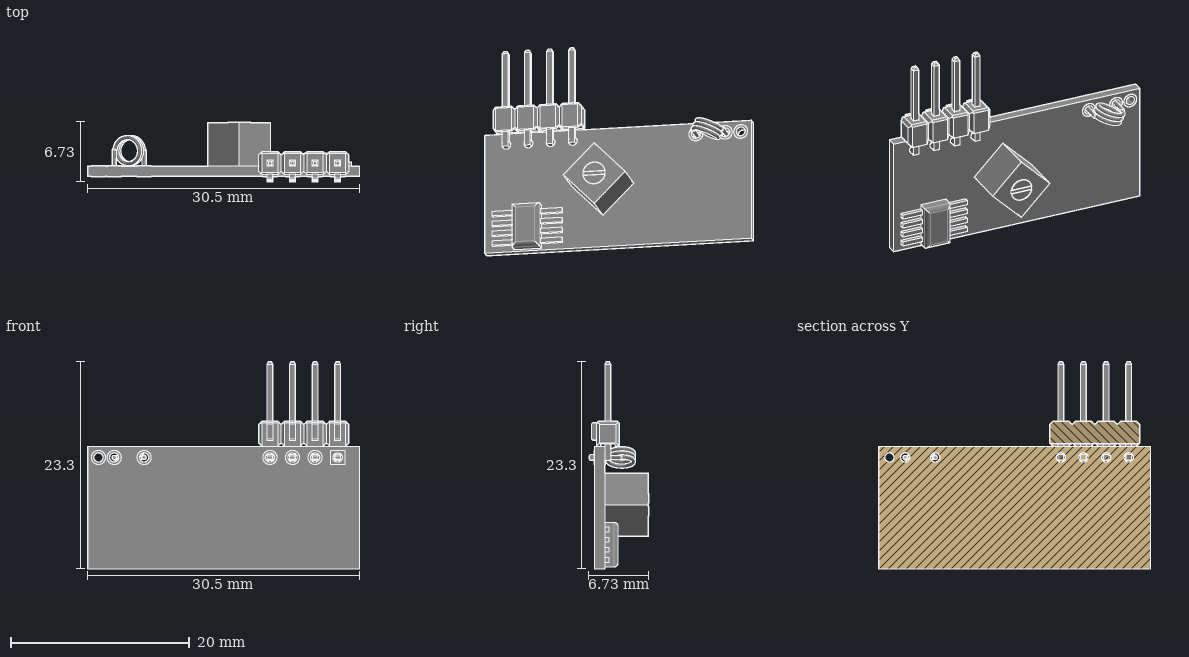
import cadquery as cq
import math

BOARD_LENGTH = 30.5
BOARD_HEIGHT = 13.75
BOARD_THICKNESS = 1.15

HOLE_Z = BOARD_HEIGHT - 1.25
HOLE_DIAMETER = 1.0
PAD_SIZE = 1.6
PAD_THICKNESS = 0.05
SPARE_HOLE_X = 1.22

PIN_COUNT = 4
PIN_PITCH = 2.53
LAST_PIN_X = BOARD_LENGTH - 2.47
PIN_XS = [LAST_PIN_X - PIN_PITCH * i for i in reversed(range(PIN_COUNT))]
PIN_WIDTH = 0.67
PIN_TOP_Z = 23.25
PIN_FRONT_Y = -0.6
PIN_Y = BOARD_THICKNESS + PIN_WIDTH / 2
PIN_TIP_LENGTH = 0.3
PIN_TIP_INSET = 0.15
PIN_TAIL_CHAMFER = 0.15

HOUSING_DEPTH = 2.55
HOUSING_HEIGHT = 2.8
HOUSING_CHAMFER = 0.37
HOUSING_FACE_CHAMFER = 0.2
FOOT_GAP_WIDTH = 1.55
FOOT_GAP_HEIGHT = 0.27
RIB_BOTTOM = 0.67
RIB_TOP = 2.65
RIB_PROJECTION = 0.55
RIB_CHAMFER = 0.15

COIL_WIRE_DIAMETER = 0.5
COIL_RADIUS = 1.45
COIL_TURNS = 2.5
COIL_PITCH = 0.503
COIL_CLEARANCE = 0.03
COIL_X = 4.67
COIL_RISE = COIL_PITCH * COIL_TURNS
COIL_LEAN = math.asin(COIL_RISE / 2 / COIL_RADIUS)
COIL_Y = BOARD_THICKNESS + COIL_CLEARANCE + COIL_RADIUS + COIL_WIRE_DIAMETER / 2
COIL_LEG_SPACING = 3.35
COIL_LEG_XS = [COIL_X - COIL_LEG_SPACING / 2, COIL_X + COIL_LEG_SPACING / 2]

TRIMMER_X = 17.0
TRIMMER_Z = 7.2
TRIMMER_SIDE = 5.0
TRIMMER_HEIGHT = 4.88
TRIMMER_BACK_Y = BOARD_THICKNESS + TRIMMER_HEIGHT
SCREW_DIAMETER = 2.53
SCREW_PROJECTION = 0.1
SCREW_DEPTH = 0.3
SCREW_SLOT_WIDTH = 0.43

CHIP_LEFT_X = 24.03
CHIP_WIDTH = 3.1
CHIP_BOTTOM_Z = 0.2
CHIP_THICKNESS = 1.5
CHIP_FILLET = 0.5
LEADS_PER_SIDE = 4
LEAD_PITCH = 1.145
LEAD_WIDTH = 0.52
LEAD_HEIGHT = 0.45
LEAD_LENGTH = 2.45
CHIP_X = CHIP_LEFT_X + CHIP_WIDTH / 2
FIRST_LEAD_Z = CHIP_BOTTOM_Z + 0.8
CHIP_LENGTH = 2 * (FIRST_LEAD_Z - CHIP_BOTTOM_Z) + LEAD_PITCH * (LEADS_PER_SIDE - 1)


def spot(x, y, z):
    """Workplane at a point, facing +Y; its local axes are +X and -Z."""
    return cq.Workplane(cq.Plane(origin=(x, y, z), xDir=(1, 0, 0), normal=(0, 1, 0)))


def block(x_range, y_range, z_range):
    """Box between the given limits."""
    sizes = [high - low for low, high in (x_range, y_range, z_range)]
    corner = (x_range[0], y_range[0], z_range[0])
    return cq.Workplane("XY").box(*sizes, centered=False).translate(corner)


def make_board():
    """Board with raised pads, except behind the pins, whose upright legs lie flat on its back."""
    board = block((0, BOARD_LENGTH), (0, BOARD_THICKNESS), (0, BOARD_HEIGHT))
    hole_xs = [SPARE_HOLE_X, *COIL_LEG_XS, *PIN_XS]
    for x in hole_xs:
        pad = spot(x, -PAD_THICKNESS, HOLE_Z)
        pad = pad.rect(PAD_SIZE, PAD_SIZE) if x == LAST_PIN_X else pad.circle(PAD_SIZE / 2)
        back_pad_thickness = 0 if x in PIN_XS else PAD_THICKNESS
        board = board.union(pad.extrude(PAD_THICKNESS + BOARD_THICKNESS + back_pad_thickness))
    for x in hole_xs:
        hole = spot(x, -PAD_THICKNESS, HOLE_Z).circle(HOLE_DIAMETER / 2)
        board = board.cut(hole.extrude(BOARD_THICKNESS + 2 * PAD_THICKNESS))
    return board


def make_pin(x):
    """Square wire bent at a right angle: up through the housing and forward through the board."""
    half = PIN_WIDTH / 2
    sides = (x - half, x + half)
    shoulder_z = PIN_TOP_Z - PIN_TIP_LENGTH
    tip_width = PIN_WIDTH - 2 * PIN_TIP_INSET
    upright = block(sides, (PIN_Y - half, PIN_Y + half), (HOLE_Z - half, shoulder_z))
    tip = cq.Workplane("XY", origin=(x, PIN_Y, shoulder_z)).rect(PIN_WIDTH, PIN_WIDTH)
    tip = tip.workplane(offset=PIN_TIP_LENGTH).rect(tip_width, tip_width).loft()
    tail = block(sides, (PIN_FRONT_Y, PIN_Y), (HOLE_Z - half, HOLE_Z + half))
    tail = tail.edges("|X and <Y").chamfer(PIN_TAIL_CHAMFER)
    return upright.union(tip).union(tail)


def make_housing_cell():
    """Chamfered block around one pin, centred on the pin axis, with a rib on its front."""
    half_depth = HOUSING_DEPTH / 2
    cell = cq.Workplane("XY").box(PIN_PITCH, HOUSING_DEPTH, HOUSING_HEIGHT, centered=(True, True, False))
    corners = cell.edges("|Z").chamfer(HOUSING_CHAMFER)
    sides = cell.edges("|Y").chamfer(HOUSING_CHAMFER)
    faces = cell.edges("|X and >Z").chamfer(HOUSING_FACE_CHAMFER)
    rib = block(
        (-PIN_WIDTH / 2, PIN_WIDTH / 2),
        (-half_depth - RIB_PROJECTION, 0),
        (RIB_BOTTOM, RIB_TOP),
    )
    rib = rib.edges("|X and <Y").chamfer(RIB_CHAMFER)
    return corners.intersect(sides).intersect(faces).union(rib)


def make_housing():
    """Row of joined cells with a pin hole through each and a gap along the foot."""
    cell = make_housing_cell()
    housing = cq.Workplane("XY")
    for x in PIN_XS:
        housing = housing.union(cell.translate((x, PIN_Y, BOARD_HEIGHT)))
    for x in PIN_XS:
        pin_hole = cq.Workplane("XY", origin=(x, PIN_Y, BOARD_HEIGHT)).rect(PIN_WIDTH, PIN_WIDTH)
        housing = housing.cut(pin_hole.extrude(HOUSING_HEIGHT))
    foot_gap = block(
        (0, BOARD_LENGTH),
        (PIN_Y - FOOT_GAP_WIDTH / 2, PIN_Y + FOOT_GAP_WIDTH / 2),
        (BOARD_HEIGHT, BOARD_HEIGHT + FOOT_GAP_HEIGHT),
    )
    return housing.cut(foot_gap)


def make_coil():
    """Leaning helix joined by round elbows to two straight legs that enter the board."""
    wire_radius = COIL_WIRE_DIAMETER / 2
    path = cq.Wire.makeHelix(COIL_PITCH, COIL_RISE, COIL_RADIUS)
    start = cq.Plane(origin=(COIL_RADIUS, 0, 0), xDir=(1, 0, 0), normal=(0, 1, 0))
    coil = cq.Workplane(start).circle(wire_radius).sweep(cq.Workplane(path), isFrenet=True)
    coil = coil.translate((0, 0, -COIL_RISE / 2))
    coil = coil.rotate((0, 0, 0), (0, 1, 0), -math.degrees(COIL_LEAN))
    coil = coil.translate((COIL_X, COIL_Y, HOLE_Z))
    for x in COIL_LEG_XS:
        leg = spot(x, 0, HOLE_Z).circle(wire_radius).extrude(COIL_Y)
        elbow = cq.Workplane("XY").sphere(wire_radius).translate((x, COIL_Y, HOLE_Z))
        coil = coil.union(leg).union(elbow)
    return coil


def make_screw():
    """Slotted disc that fills the recess of the trimmer and stands slightly proud of it."""
    screw = spot(TRIMMER_X, TRIMMER_BACK_Y - SCREW_DEPTH, TRIMMER_Z).circle(SCREW_DIAMETER / 2)
    screw = screw.extrude(SCREW_DEPTH + SCREW_PROJECTION)
    slot = spot(TRIMMER_X, TRIMMER_BACK_Y, TRIMMER_Z).rect(SCREW_DIAMETER, SCREW_SLOT_WIDTH)
    return screw.cut(slot.extrude(SCREW_PROJECTION))


def make_trimmer():
    """Box standing on its corner, with a round recess for the screw."""
    box = spot(TRIMMER_X, BOARD_THICKNESS, TRIMMER_Z).transformed(rotate=(0, 0, 45))
    box = box.rect(TRIMMER_SIDE, TRIMMER_SIDE).extrude(TRIMMER_HEIGHT)
    recess = spot(TRIMMER_X, TRIMMER_BACK_Y - SCREW_DEPTH, TRIMMER_Z).circle(SCREW_DIAMETER / 2)
    return box.cut(recess.extrude(SCREW_DEPTH))


def make_chip():
    """Chip with a rounded top and a row of flat leads on either side."""
    chip = block(
        (CHIP_X - CHIP_WIDTH / 2, CHIP_X + CHIP_WIDTH / 2),
        (BOARD_THICKNESS, BOARD_THICKNESS + CHIP_THICKNESS),
        (CHIP_BOTTOM_Z, CHIP_BOTTOM_Z + CHIP_LENGTH),
    )
    chip = chip.faces(">Y").edges().fillet(CHIP_FILLET)
    reach = CHIP_WIDTH / 2 + LEAD_LENGTH
    for i in range(LEADS_PER_SIDE):
        z = FIRST_LEAD_Z + LEAD_PITCH * i
        lead_pair = block(
            (CHIP_X - reach, CHIP_X + reach),
            (BOARD_THICKNESS, BOARD_THICKNESS + LEAD_HEIGHT),
            (z - LEAD_WIDTH / 2, z + LEAD_WIDTH / 2),
        )
        chip = chip.union(lead_pair)
    return chip


board = make_board()
housing = make_housing()
pins = [make_pin(x) for x in PIN_XS]
coil = make_coil()
trimmer = make_trimmer()
screw = make_screw()
chip = make_chip()

result = cq.Compound.makeCompound(
    [
        board.val(),
        housing.val(),
        *[pin.val() for pin in pins],
        coil.val(),
        trimmer.val(),
        screw.val(),
        chip.val(),
    ]
)